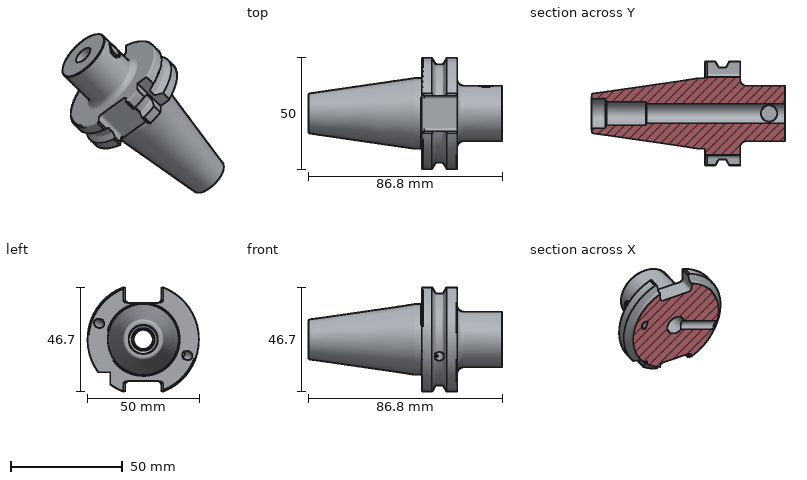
import cadquery as cq
import math

LENGTH = 86.75

TAPER_RATIO = 7 / 24
GAUGE_X = 47.6
GAUGE_RADIUS = 15.9
TIP_RADIUS = GAUGE_RADIUS - GAUGE_X * TAPER_RATIO / 2
TIP_ROUND = 1.0
NECK_FILLET = 0.5

FLANGE_START_X = 50.8
FLANGE_END_X = 66.7
FLANGE_RADIUS = 25.0
FLANGE_ROUND = 0.6
GROOVE_X = 58.6
GROOVE_DEPTH = 2.9
GROOVE_ROOT_HALF_WIDTH = 1.65
GROOVE_FLANK_ANGLE = 30.0
GROOVE_ROOT_FILLET = 0.6
GROOVE_ROOT_RADIUS = FLANGE_RADIUS - GROOVE_DEPTH
GROOVE_HALF_WIDTH = GROOVE_ROOT_HALF_WIDTH + GROOVE_DEPTH * math.tan(math.radians(GROOVE_FLANK_ANGLE))

HUB_RADIUS = 12.5
HUB_CHAMFER = 0.3
HUB_FLARE_RADIUS = 2.95
HUB_FLARE_LENGTH = 2.9

COUNTERBORE_RADIUS = 6.4
MOUTH_ROUND = 0.8
RELIEF_START_X = 3.9
RELIEF_DEPTH = 0.2
RELIEF_FLANK_LENGTH = 0.8
COUNTERBORE_DEPTH = 6.2
STUD_BORE_RADIUS = 5.1
STUD_BORE_DEPTH = 24.3
BORE_RADIUS = 4.25
SEAT_ANGLE = 60.0

SLOT_HALF_WIDTH = 8.0
TOP_SLOT_FLOOR = 16.4
BOTTOM_SLOT_FLOOR = 18.65
SLOT_FILLET = 1.6
SLOT_CHAMFER = 0.95
SLOT_RIM_DROP = 0.6

NOTCH_Y = 14.8
NOTCH_Z = -14.75

COOLANT_ANGLE = 20.0
FACE_COOLANT_DIAMETER = 4.0
GROOVE_COOLANT_DIAMETER = 4.2
COOLANT_FACE_RADIUS = 21.0
COOLANT_TILT = 32.0

SCREW_X = 79.55
SCREW_DIAMETER = 7.3
SCREW_CHAMFER = 0.9
SCREW_INNER_END = 4.3
SCREW_OUTER_END = HUB_RADIUS


def revolve_about_x(profile):
    return profile.close().revolve(360, (0, 0, 0), (1, 0, 0))


def taper_body():
    body = revolve_about_x(
        cq.Workplane("XY")
        .lineTo(0, TIP_RADIUS)
        .lineTo(GAUGE_X, GAUGE_RADIUS)
        .lineTo(FLANGE_START_X, GAUGE_RADIUS)
        .lineTo(FLANGE_START_X, 0)
    )
    return body.faces("<X").edges().fillet(TIP_ROUND)


def flange_body():
    width = FLANGE_END_X - FLANGE_START_X
    disc = cq.Workplane("YZ", origin=(FLANGE_START_X, 0, 0)).circle(FLANGE_RADIUS).extrude(width)
    return disc.edges().fillet(FLANGE_ROUND)


def hub_body():
    flare_end_x = FLANGE_END_X + HUB_FLARE_LENGTH
    flare_rise = HUB_FLARE_RADIUS - math.sqrt(HUB_FLARE_RADIUS**2 - HUB_FLARE_LENGTH**2)
    return revolve_about_x(
        cq.Workplane("XY")
        .moveTo(FLANGE_END_X, 0)
        .lineTo(FLANGE_END_X, HUB_RADIUS + flare_rise)
        .radiusArc((flare_end_x, HUB_RADIUS), -HUB_FLARE_RADIUS)
        .lineTo(LENGTH - HUB_CHAMFER, HUB_RADIUS)
        .lineTo(LENGTH, HUB_RADIUS - HUB_CHAMFER)
        .lineTo(LENGTH, 0)
    )


def neck_fillet_ring():
    """Concave ring that blends the gauge cylinder into the flange face."""
    return revolve_about_x(
        cq.Workplane("XY")
        .moveTo(FLANGE_START_X - NECK_FILLET, GAUGE_RADIUS)
        .radiusArc((FLANGE_START_X, GAUGE_RADIUS + NECK_FILLET), -NECK_FILLET)
        .lineTo(FLANGE_START_X, 0)
        .lineTo(FLANGE_START_X - NECK_FILLET, 0)
    )


def groove_cutter():
    ring = revolve_about_x(
        cq.Workplane("XY")
        .moveTo(GROOVE_X - GROOVE_HALF_WIDTH, FLANGE_RADIUS)
        .lineTo(GROOVE_X - GROOVE_ROOT_HALF_WIDTH, GROOVE_ROOT_RADIUS)
        .lineTo(GROOVE_X + GROOVE_ROOT_HALF_WIDTH, GROOVE_ROOT_RADIUS)
        .lineTo(GROOVE_X + GROOVE_HALF_WIDTH, FLANGE_RADIUS)
    )
    root_edges = cq.selectors.RadiusNthSelector(0)
    return ring.edges(root_edges).fillet(GROOVE_ROOT_FILLET)


def bore_cutter():
    seat_slope = math.tan(math.radians(SEAT_ANGLE))
    seat_length = (COUNTERBORE_RADIUS - STUD_BORE_RADIUS) / seat_slope
    drill_point_length = (STUD_BORE_RADIUS - BORE_RADIUS) / seat_slope
    relief_radius = COUNTERBORE_RADIUS + RELIEF_DEPTH
    return revolve_about_x(
        cq.Workplane("XY")
        .lineTo(0, COUNTERBORE_RADIUS + MOUTH_ROUND)
        .radiusArc((MOUTH_ROUND, COUNTERBORE_RADIUS), -MOUTH_ROUND)
        .lineTo(RELIEF_START_X, COUNTERBORE_RADIUS)
        .lineTo(RELIEF_START_X + RELIEF_FLANK_LENGTH, relief_radius)
        .lineTo(COUNTERBORE_DEPTH - RELIEF_FLANK_LENGTH, relief_radius)
        .lineTo(COUNTERBORE_DEPTH, COUNTERBORE_RADIUS)
        .lineTo(COUNTERBORE_DEPTH + seat_length, STUD_BORE_RADIUS)
        .lineTo(STUD_BORE_DEPTH, STUD_BORE_RADIUS)
        .lineTo(STUD_BORE_DEPTH + drill_point_length, BORE_RADIUS)
        .lineTo(LENGTH, BORE_RADIUS)
        .lineTo(LENGTH, 0)
    )


def slot_outline(plane, half_width, floor):
    """U-shaped slot section with rounded floor corners, open beyond the flange rim."""
    return (
        plane.moveTo(-half_width, FLANGE_RADIUS)
        .lineTo(-half_width, floor + SLOT_FILLET)
        .radiusArc((-half_width + SLOT_FILLET, floor), -SLOT_FILLET)
        .lineTo(half_width - SLOT_FILLET, floor)
        .radiusArc((half_width, floor + SLOT_FILLET), -SLOT_FILLET)
        .lineTo(half_width, FLANGE_RADIUS)
        .close()
    )


def slot_cutter(floor):
    """Drive slot in the +Z side, widened by bevels at the taper-side face and at the rim."""
    plane = cq.Workplane("YZ", origin=(FLANGE_START_X, 0, 0))
    width = FLANGE_END_X - FLANGE_START_X
    slot = slot_outline(plane, SLOT_HALF_WIDTH, floor).extrude(width)

    wide = slot_outline(plane, SLOT_HALF_WIDTH + SLOT_CHAMFER, floor)
    face_bevel = slot_outline(wide.workplane(offset=SLOT_CHAMFER), SLOT_HALF_WIDTH, floor).loft(ruled=True)

    rim_half_width = SLOT_HALF_WIDTH + SLOT_CHAMFER
    rim_z = math.sqrt(FLANGE_RADIUS**2 - rim_half_width**2)
    wall_top_z = math.sqrt(FLANGE_RADIUS**2 - SLOT_HALF_WIDTH**2) - SLOT_RIM_DROP
    rim_bevel = (
        plane.moveTo(-SLOT_HALF_WIDTH, wall_top_z)
        .lineTo(SLOT_HALF_WIDTH, wall_top_z)
        .lineTo(rim_half_width, rim_z)
        .lineTo(rim_half_width, FLANGE_RADIUS)
        .lineTo(-rim_half_width, FLANGE_RADIUS)
        .lineTo(-rim_half_width, rim_z)
        .close()
        .extrude(width)
    )
    return slot.union(face_bevel).union(rim_bevel)


def notch_cutter():
    width = FLANGE_END_X - FLANGE_START_X
    return (
        cq.Workplane("YZ", origin=(FLANGE_START_X, 0, 0))
        .moveTo(NOTCH_Y, NOTCH_Z)
        .rect(FLANGE_RADIUS, -FLANGE_RADIUS, centered=False)
        .extrude(width)
    )


def cylinder_cutter(start, end, diameter):
    axis = cq.Vector(*end) - cq.Vector(*start)
    return cq.Workplane(cq.Solid.makeCylinder(diameter / 2, axis.Length, cq.Vector(*start), axis))


def face_coolant_cutter():
    """Hole from the -Y side of the taper-side flange face, slanting inwards to the groove's plane."""
    slope = math.tan(math.radians(COOLANT_TILT))
    lead = FACE_COOLANT_DIAMETER
    inward_shift = (GROOVE_X - FLANGE_START_X) * slope
    start = (FLANGE_START_X - lead, -COOLANT_FACE_RADIUS - lead * slope, 0)
    end = (GROOVE_X, -COOLANT_FACE_RADIUS + inward_shift, 0)
    return cylinder_cutter(start, end, FACE_COOLANT_DIAMETER)


def groove_coolant_cutter():
    """Radial hole from the -Y side of the groove root into the central bore."""
    return cylinder_cutter((GROOVE_X, -FLANGE_RADIUS, 0), (GROOVE_X, 0, 0), GROOVE_COOLANT_DIAMETER)


def turned_about_x(cutter, angle):
    return cutter.rotate((0, 0, 0), (1, 0, 0), angle)


def make_holder():
    holder = taper_body().union(flange_body()).union(hub_body()).union(neck_fillet_ring())
    holder = holder.cut(groove_cutter()).cut(bore_cutter())
    holder = holder.cut(slot_cutter(TOP_SLOT_FLOOR))
    holder = holder.cut(turned_about_x(slot_cutter(BOTTOM_SLOT_FLOOR), 180))
    holder = holder.cut(notch_cutter())
    for angle in (COOLANT_ANGLE, COOLANT_ANGLE + 180):
        holder = holder.cut(turned_about_x(face_coolant_cutter(), angle))
    holder = holder.cut(turned_about_x(groove_coolant_cutter(), COOLANT_ANGLE))
    screw_hole = cylinder_cutter((SCREW_X, 0, 0), (SCREW_X, FLANGE_RADIUS, 0), SCREW_DIAMETER)
    return holder.cut(screw_hole)


def make_clamping_screw():
    screw = cylinder_cutter((SCREW_X, SCREW_INNER_END, 0), (SCREW_X, SCREW_OUTER_END, 0), SCREW_DIAMETER)
    return screw.faces(">Y").edges().chamfer(SCREW_CHAMFER)


holder = make_holder()
clamping_screw = make_clamping_screw()

result = cq.Compound.makeCompound([holder.val(), clamping_screw.val()])